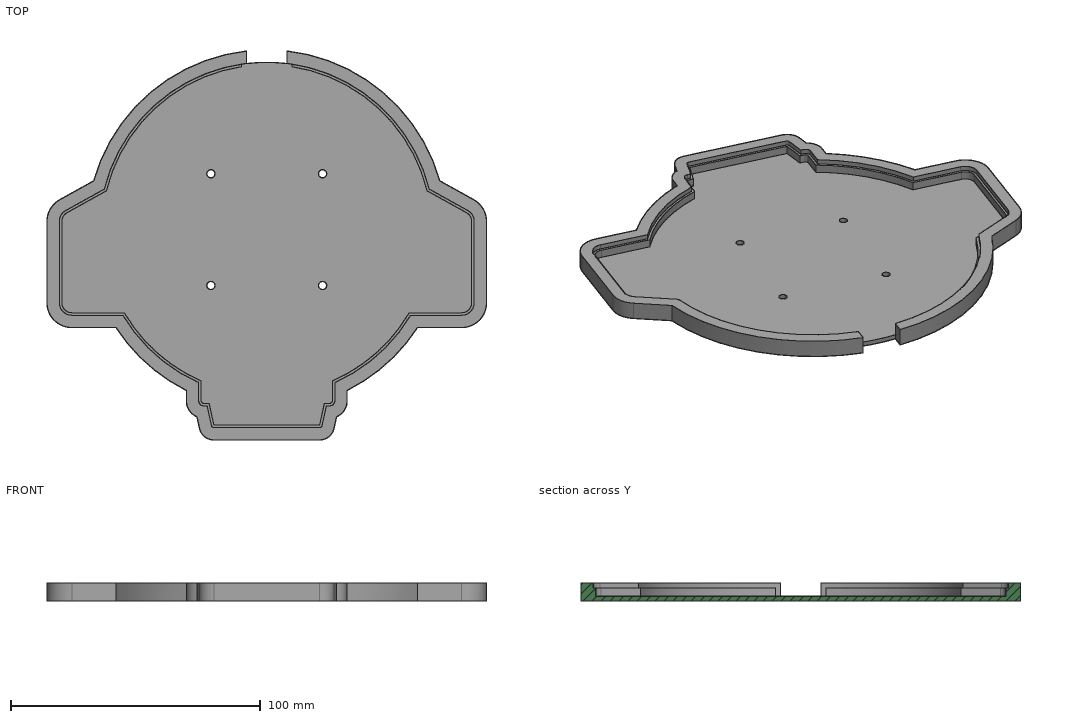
import cadquery as cq
import math

width = 176.0
length = 155.7
height = 7.2

rim_width = 6.0
step_width = 1.0
step_drop = 2.0
floor_thickness = 2.0

inner_radius = 66.0
wing_bottom_y = -33.3
wing_corner_y = 5.6
wing_top_angle = 29.0
wing_fillet = 4.0
tab_neck_half_width = 26.2
tab_shoulder_y = -69.5
tab_shoulder_half_width = 23.0
tab_bottom_half_width = 21.1
shoulder_fillet = 1.0

opening_width = 16.0
step_gap_width = 20.0

hole_diameter = 3.2
hole_spacing = 44.7

outer_radius = inner_radius + rim_width
wing_x = width / 2 - rim_width
rim_back_y = math.sqrt(outer_radius**2 - (opening_width / 2) ** 2)
tab_bottom_y = rim_back_y - length + rim_width


def inner_disc():
    """Round middle of the inner outline."""
    return cq.Workplane("XY").circle(inner_radius).extrude(height)


def wings():
    """Both side wings as one band, with sloped back edges and rounded corners."""
    ridge_y = wing_corner_y + wing_x * math.tan(math.radians(wing_top_angle))
    outline = [
        (-wing_x, wing_bottom_y),
        (wing_x, wing_bottom_y),
        (wing_x, wing_corner_y),
        (0, ridge_y),
        (-wing_x, wing_corner_y),
    ]
    band = cq.Workplane("XY").polyline(outline).close().extrude(height)
    return band.edges("|Z and (<X or >X)").fillet(wing_fillet)


def front_tab():
    """Stepped tab that tapers towards the front, with softened shoulders."""
    right_side = [
        (tab_bottom_half_width, tab_bottom_y),
        (tab_shoulder_half_width, tab_shoulder_y),
        (tab_neck_half_width, tab_shoulder_y),
        (tab_neck_half_width, 0),
    ]
    left_side = [(-x, y) for x, y in reversed(right_side)]
    tab = cq.Workplane("XY").polyline(right_side + left_side).close().extrude(height)
    return tab.edges("|Z and (<X or >X)").edges("<Y").fillet(shoulder_fillet)


def grown_block(inner_block, offset):
    """Full-height block whose outline is the inner outline grown by the offset."""
    outline = inner_block.faces("<Z").wires().toPending()
    return outline.offset2D(offset, "arc").extrude(height, combine=False)


def back_box(box_width):
    """Full-height box across the back of the rim."""
    box = cq.Workplane("XY").box(box_width, outer_radius, height, centered=(True, False, False))
    return box.translate((0, inner_radius / 2, 0))


inner_block = inner_disc().union(wings()).union(front_tab())
step_block = grown_block(inner_block, step_width)

result = grown_block(inner_block, rim_width)
result = result.cut(inner_block.translate((0, 0, floor_thickness)))
result = result.cut(step_block.translate((0, 0, height - step_drop)))

step_gap = step_block.intersect(back_box(step_gap_width))
result = result.cut(step_gap.translate((0, 0, floor_thickness)))

opening = back_box(opening_width).cut(step_block)
result = result.cut(opening)

holes = cq.Workplane("XY").rect(hole_spacing, hole_spacing, forConstruction=True).vertices()
result = result.cut(holes.circle(hole_diameter / 2).extrude(height))